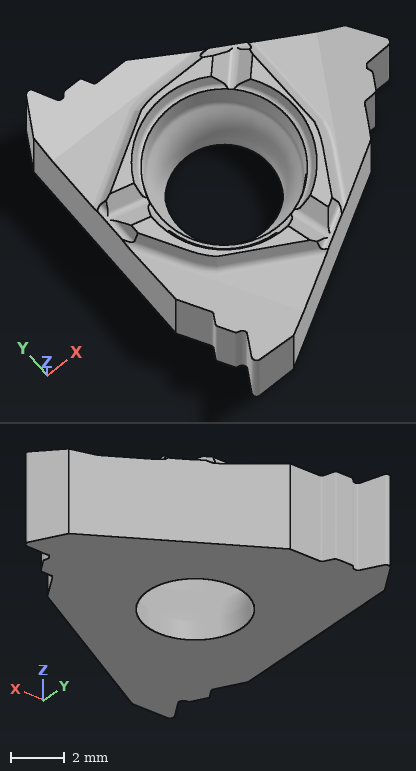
import cadquery as cq
import math

CORNERS = 3
SPACING = 360 / CORNERS
TOTAL_LENGTH = 13.72
TOTAL_HEIGHT = 4.1
SIDE_DISTANCE = 4.76
NEXT_SIDE_ANGLE = 180 - SPACING

FLANK_ANGLE = 60.0
FLANK_SLOPE = math.tan(math.radians(FLANK_ANGLE))
TIP_Y = 6.9
TIP_RADIUS = 0.19
TIP_CENTRE_Y = TIP_Y - TIP_RADIUS
TIP_X = (TIP_Y - TOTAL_LENGTH + TIP_RADIUS + TIP_CENTRE_Y / 2) / math.sin(math.radians(SPACING))
ROOT_Y = 5.9
ROOT_WIDTH = 0.19
ROOT_RADIUS = 0.14
STEP_Y = 6.08
STEP_LEFT_X = -2.73
STEP_RIGHT_X = -1.92
STEP_RADIUS = 0.14
SHELF_Y = 5.58

PLATE_RADIUS = 2 * SIDE_DISTANCE

VALLEY_Z = 3.51
VALLEY_DISTANCE = 4.3
CORNER_RISE = 10.0

BOSS_RADIUS = 3.73
BOSS_BACK_DISTANCE = 3.61
BOSS_BACK_ANGLE = 121.0
BOSS_END_DISTANCE = 4.25
BOSS_TAPER = 28.0
BOSS_FOOT_FILLET = 0.33
BOSS_END_FOOT_Z = 3.61
BOSS_END_FILLET = 0.2

GROOVE_ANGLE = 165.6
GROOVE_Z = BOSS_END_FOOT_Z
GROOVE_HALF_FLOOR = 0.14
GROOVE_FILLET = 0.27
GROOVE_NARROW_REACH = 0.7
GROOVE_WIDE_REACH = 0.77
GROOVE_START = 2.75
GROOVE_END = 6.17

HOLE_RADIUS = 4.4 / 2
BOWL_BOTTOM_Z = 0.82
BOWL_RADIUS = 2.07
BOWL_TOP_RADIUS = 2.87
COUNTERBORE_RADIUS = 3.1
COUNTERBORE_BOTTOM_RADIUS = 3.0
COUNTERBORE_BOTTOM_Z = 2.65
RIM_RADIUS = 3.46
RIM_TAPER = 25.0
LEDGE_Z = GROOVE_Z + 0.01


def turn(point, degrees):
    """Rotate a point about the hole axis."""
    angle = math.radians(degrees)
    x, y = point
    return (x * math.cos(angle) - y * math.sin(angle), x * math.sin(angle) + y * math.cos(angle))


def around(shape):
    """Union of copies of a shape, one for each corner."""
    copies = shape
    for i in range(1, CORNERS):
        copies = copies.union(shape.rotate((0, 0, 0), (0, 0, 1), i * SPACING))
    return copies


def line_crossing(distance_a, angle_a, distance_b, angle_b):
    """Meeting point of two lines given by axis distance and normal direction."""
    a, b = math.radians(angle_a), math.radians(angle_b)
    det = math.sin(b - a)
    x = (distance_a * math.sin(b) - distance_b * math.sin(a)) / det
    y = (distance_b * math.cos(a) - distance_a * math.cos(b)) / det
    return (x, y)


def make_outline():
    """Prism with the full toothed outline."""
    apex_y = TIP_Y + TIP_RADIUS
    side_y = apex_y - (TIP_X + SIDE_DISTANCE) * FLANK_SLOPE
    root_x = TIP_X + (apex_y - ROOT_Y) / FLANK_SLOPE
    corner = [
        (-SIDE_DISTANCE, side_y),
        (TIP_X, apex_y),
        (root_x, ROOT_Y),
        (root_x + ROOT_WIDTH, ROOT_Y),
        (STEP_LEFT_X, STEP_Y),
        (STEP_RIGHT_X, STEP_Y),
        (STEP_RIGHT_X + (STEP_Y - SHELF_Y) / FLANK_SLOPE, SHELF_Y),
        line_crossing(SIDE_DISTANCE, NEXT_SIDE_ANGLE, SHELF_Y, 90),
    ]
    rounded = [
        (corner[1], TIP_RADIUS),
        (corner[2], ROOT_RADIUS),
        (corner[3], ROOT_RADIUS),
        (corner[4], STEP_RADIUS),
        (corner[5], STEP_RADIUS),
        (corner[6], STEP_RADIUS),
    ]
    points = []
    for i in range(CORNERS):
        points += [turn(p, -i * SPACING) for p in corner]
    prism = cq.Workplane("XY").polyline(points).close().extrude(TOTAL_HEIGHT)
    for point, radius in rounded:
        for i in range(CORNERS):
            x, y = turn(point, -i * SPACING)
            upright_edge = cq.selectors.NearestToPointSelector((x, y, TOTAL_HEIGHT / 2))
            prism = prism.edges(upright_edge).fillet(radius)
    return prism


def boss_side_section(top_distance, foot_z=VALLEY_Z, fillet=BOSS_FOOT_FILLET):
    """Area outside one boss side: sloped wall, foot fillet and flat seat."""
    height = TOTAL_HEIGHT - foot_z
    taper = math.radians(BOSS_TAPER)
    corner = top_distance + height * math.tan(taper)
    tangent = fillet * math.tan((math.pi / 2 - taper) / 2)
    return (
        cq.Workplane("XZ")
        .moveTo(PLATE_RADIUS, TOTAL_HEIGHT)
        .lineTo(top_distance, TOTAL_HEIGHT)
        .lineTo(corner - tangent * math.sin(taper), foot_z + tangent * math.cos(taper))
        .tangentArcPoint((corner + tangent, foot_z), relative=False)
        .lineTo(PLATE_RADIUS, foot_z)
        .close()
    )


def make_base():
    """Flat plate with the tapered boss left standing."""
    base = cq.Workplane("XY").circle(PLATE_RADIUS).extrude(TOTAL_HEIGHT)
    straight_sides = [
        (boss_side_section(BOSS_RADIUS), 90),
        (boss_side_section(BOSS_BACK_DISTANCE), BOSS_BACK_ANGLE),
        (boss_side_section(BOSS_END_DISTANCE, BOSS_END_FOOT_Z, BOSS_END_FILLET), 180),
    ]
    cutters = [(section.extrude(PLATE_RADIUS, both=True), angle) for section, angle in straight_sides]
    rounded_side = boss_side_section(BOSS_RADIUS).revolve(BOSS_BACK_ANGLE - 90, (0, 0, 0), (0, 1, 0))
    cutters.append((rounded_side, 90))
    for cutter, angle in cutters:
        for i in range(CORNERS):
            base = base.cut(cutter.rotate((0, 0, 0), (0, 0, 1), angle + i * SPACING))
    return base


def make_rise():
    """Wedge that raises the top face of the corner pointing to +Y."""
    reach = TIP_Y - VALLEY_DISTANCE
    climb = reach * math.tan(math.radians(CORNER_RISE))
    return (
        cq.Workplane("YZ", origin=(-SIDE_DISTANCE, 0, 0))
        .polyline([
            (VALLEY_DISTANCE, 0),
            (VALLEY_DISTANCE + reach, 0),
            (VALLEY_DISTANCE + reach, VALLEY_Z + climb),
            (VALLEY_DISTANCE, VALLEY_Z),
        ])
        .close()
        .extrude(PLATE_RADIUS)
    )


def make_groove():
    """Cutter for the V groove of one corner."""
    top = TOTAL_HEIGHT
    return (
        cq.Workplane("YZ", origin=(GROOVE_START, 0, 0))
        .polyline([
            (-GROOVE_HALF_FLOOR, GROOVE_Z),
            (GROOVE_HALF_FLOOR, GROOVE_Z),
            (GROOVE_WIDE_REACH, top),
            (-GROOVE_NARROW_REACH, top),
        ])
        .close()
        .extrude(GROOVE_END - GROOVE_START)
        .edges("|X and <Z")
        .fillet(GROOVE_FILLET)
        .rotate((0, 0, 0), (0, 0, 1), GROOVE_ANGLE)
    )


def make_hole():
    """Stepped hole with a rounded screw seat, as a turned cutter."""
    bowl_centre_r = HOLE_RADIUS + BOWL_RADIUS

    def bowl_point(radius):
        return (radius, BOWL_BOTTOM_Z + math.sqrt(BOWL_RADIUS**2 - (bowl_centre_r - radius) ** 2))

    bowl_top = bowl_point(BOWL_TOP_RADIUS)
    taper = math.radians(RIM_TAPER)
    ledge_corner = RIM_RADIUS - (TOTAL_HEIGHT - LEDGE_Z) * math.tan(taper)
    tangent = ledge_corner - COUNTERBORE_RADIUS
    ledge_wall_point = (ledge_corner + tangent * math.sin(taper), LEDGE_Z + tangent * math.cos(taper))
    sweep = math.pi / 2 - taper
    ledge_fillet = tangent / math.tan(sweep / 2)
    ledge_middle = (
        COUNTERBORE_RADIUS + ledge_fillet * math.sin(sweep / 2),
        LEDGE_Z + ledge_fillet * (1 - math.cos(sweep / 2)),
    )
    return (
        cq.Workplane("XZ")
        .lineTo(HOLE_RADIUS, 0)
        .lineTo(HOLE_RADIUS, BOWL_BOTTOM_Z)
        .threePointArc(bowl_point((HOLE_RADIUS + BOWL_TOP_RADIUS) / 2), bowl_top)
        .tangentArcPoint((COUNTERBORE_BOTTOM_RADIUS, COUNTERBORE_BOTTOM_Z), relative=False)
        .lineTo(COUNTERBORE_RADIUS, LEDGE_Z)
        .threePointArc(ledge_middle, ledge_wall_point)
        .lineTo(RIM_RADIUS, TOTAL_HEIGHT)
        .lineTo(0, TOTAL_HEIGHT)
        .close()
        .revolve(360, (0, 0, 0), (0, 1, 0))
    )


result = make_base().union(around(make_rise()))
result = result.intersect(make_outline())
result = result.cut(around(make_groove())).cut(make_hole())